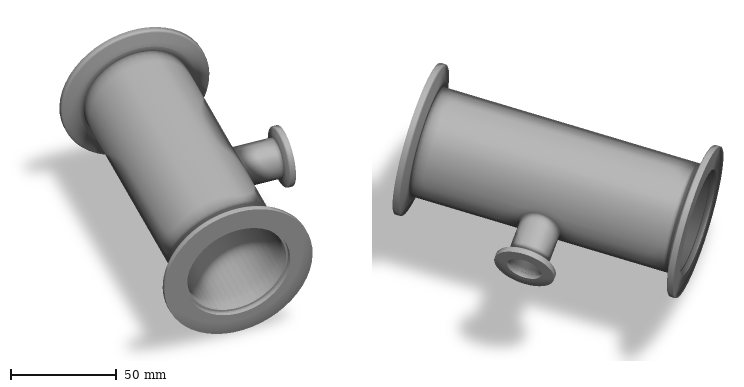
import cadquery as cq
import math

overall_length = 140.0
tube_outer_d = 54.0
tube_inner_d = 50.0

branch_outer_d = 20.0
branch_inner_d = 17.0
branch_reach = 50.0
junction_fillet = 1.0

taper_angle = 15.0
rim_thickness = 3.0
rim_round = 1.0
recess_depth = 2.5
seat_depth = 3.0

main_flange_d = 75.0
main_hub_d = 59.4
main_recess_d = 52.4
main_recess_fillet = 0.4
main_socket_d = 54.1

branch_flange_d = 30.0
branch_recess_d = 17.2
branch_socket_d = 20.2
branch_hub_d = branch_socket_d


def clamp_flange(rim_d, hub_d, recess_d, bore_d, socket_d, recess_fillet=0.0):
    """Flange about Z, sealing face at z = 0 and tapered back towards +Z."""
    rim_r = rim_d / 2
    hub_r = hub_d / 2
    thickness = rim_thickness + (rim_r - hub_r) * math.tan(math.radians(taper_angle))

    flange = (
        cq.Workplane("XZ")
        .lineTo(rim_r, 0)
        .lineTo(rim_r, rim_thickness)
        .lineTo(hub_r, thickness)
        .lineTo(0, thickness)
        .close()
        .revolve(360, (0, 0, 0), (0, 1, 0))
    )
    flange = flange.edges("%CIRCLE and (not <Z) and (not >Z)").fillet(rim_round)

    recess = cq.Workplane("XY").circle(recess_d / 2).extrude(recess_depth)
    if recess_fillet > 0:
        recess = recess.edges(">Z").fillet(recess_fillet)
    bore = cq.Workplane("XY").circle(bore_d / 2).extrude(thickness)
    socket = cq.Workplane("XY").workplane(offset=seat_depth).circle(socket_d / 2).extrude(thickness)
    return flange.cut(recess).cut(bore).cut(socket)


def tee_body():
    """Main tube with the blended branch pipe, both bored through into each other."""
    tube_half_length = overall_length / 2 - seat_depth
    branch_length = branch_reach - seat_depth
    tube = cq.Workplane("YZ").circle(tube_outer_d / 2).extrude(tube_half_length, both=True)
    branch = cq.Workplane("XZ").circle(branch_outer_d / 2).extrude(-branch_length)

    junction = cq.selectors.BoxSelector(
        (-branch_outer_d, 0, -branch_outer_d),
        (branch_outer_d, tube_outer_d / 2, branch_outer_d),
    )
    tee = tube.union(branch).edges(junction).fillet(junction_fillet)

    tube_bore = cq.Workplane("YZ").circle(tube_inner_d / 2).extrude(tube_half_length, both=True)
    branch_bore = cq.Workplane("XZ").circle(branch_inner_d / 2).extrude(-branch_length)
    return tee.cut(tube_bore).cut(branch_bore)


def main_flange(side):
    """Main flange on the -X (side = -1) or +X (side = 1) end, tapering towards the middle."""
    flange = clamp_flange(
        main_flange_d, main_hub_d, main_recess_d, tube_inner_d, main_socket_d, main_recess_fillet
    )
    turned = flange.rotate((0, 0, 0), (0, 1, 0), -side * 90)
    return turned.translate((side * overall_length / 2, 0, 0))


def branch_flange():
    """Small flange on the branch end, sealing face towards +Y."""
    flange = clamp_flange(branch_flange_d, branch_hub_d, branch_recess_d, branch_inner_d, branch_socket_d)
    return flange.rotate((0, 0, 0), (1, 0, 0), 90).translate((0, branch_reach, 0))


tee = tee_body()
main_flanges = [main_flange(side) for side in (-1, 1)]
side_flange = branch_flange()

result = cq.Compound.makeCompound(
    [tee.val(), *[flange.val() for flange in main_flanges], side_flange.val()]
)